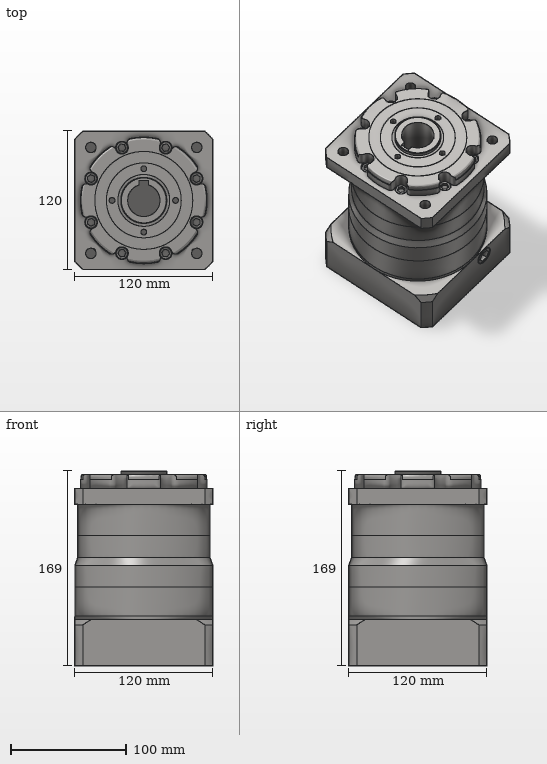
import cadquery as cq
import math

MOTOR_BLOCK_TOP = 40.0
ADAPTER_TOP = 43.0
INPUT_HOUSING_TOP = 68.5
TAPER_BOTTOM = 87.0
TAPER_TOP = 94.0
RING_GEAR_TOP = 113.0
FLANGE_BOTTOM = 140.0
FLANGE_TOP = 154.0
PILOT_TOP = 166.0
SHAFT_TOP = 169.0

SQUARE_SIDE = 120.0
CORNER_RADIUS = 80.0
BLOCK_CORNER_CHAMFER = 4.5

LOWER_BODY_RADIUS = SQUARE_SIDE / 2
UPPER_BODY_RADIUS = 57.5

PLUG_Y = -18.0
PLUG_Z = 30.0
PLUG_RADIUS = 7.8
PLUG_HOLE_RADIUS = 8.1
PLUG_GAP_DEPTH = 1.0
PLUG_HEX_FLATS = 10.0
PLUG_HEX_DEPTH = 5.0

MOUNT_HOLE_DIAMETER = 9.0
MOUNT_HOLE_SPACING = 130.0 / math.sqrt(2)

PILOT_RADIUS = 55.0
PILOT_RELIEF_RADIUS = 54.5
PILOT_RELIEF_BOTTOM = 161.5
PILOT_TOP_FILLET = 2.0
SCALLOP_COUNT = 8
SCALLOP_STEP = 360.0 / SCALLOP_COUNT
SCREW_CIRCLE_RADIUS = 49.5
SCALLOP_RADIUS = 5.5
LOBE_CORNER_RADIUS = 4.0

HEAD_RADIUS = 5.0
HEAD_RECESS = 1.0
HEAD_GAP_DEPTH = 2.0
HEAD_HEX_FLATS = 6.0
HEAD_HEX_DEPTH = 3.0

FACE_RELIEF_RADIUS = 42.5
FACE_RELIEF_DEPTH = 0.3

SHAFT_FLANGE_RADIUS = 32.5
SHAFT_HUB_RADIUS = 20.0
SHAFT_HUB_CHAMFER = 0.5
SHAFT_BORE_RADIUS = 14.0
KEYWAY_WIDTH = 8.0
KEYWAY_TOP = 17.3
HUB_RELIEF_RADIUS = 22.5
HUB_RELIEF_DEPTH = 0.3
TAPPED_HOLE_COUNT = 4
TAPPED_HOLE_CIRCLE_RADIUS = 27.5
TAPPED_HOLE_DIAMETER = 5.0
TAPPED_HOLE_DEPTH = 12.0


def disc(radius, bottom, top):
    """Round disc on the Z axis between two heights."""
    return cq.Workplane("XY").workplane(offset=bottom).circle(radius).extrude(top - bottom)


def polar(radius, degrees):
    """X and Y of a point given by its radius and angle."""
    angle = math.radians(degrees)
    return radius * math.cos(angle), radius * math.sin(angle)


def hex_across_corners(flats):
    """Corner-to-corner size of a hexagon from its size across flats."""
    return flats / math.cos(math.radians(30))


def turned_square(bottom, top):
    """Square plate whose four corners are turned to the corner radius."""
    height = top - bottom
    square = cq.Workplane("XY").workplane(offset=bottom).rect(SQUARE_SIDE, SQUARE_SIDE).extrude(height)
    return square.intersect(disc(CORNER_RADIUS, bottom, top))


def make_motor_adapter():
    corner_turning = disc(CORNER_RADIUS, 0, MOTOR_BLOCK_TOP).faces(">Z").chamfer(BLOCK_CORNER_CHAMFER)
    block = turned_square(0, MOTOR_BLOCK_TOP).intersect(corner_turning)
    neck = disc(LOWER_BODY_RADIUS, MOTOR_BLOCK_TOP, ADAPTER_TOP)
    side = cq.Workplane(cq.Plane((-SQUARE_SIDE / 2, PLUG_Y, PLUG_Z), xDir=(0, -1, 0), normal=(-1, 0, 0)))
    plug_gap = side.circle(PLUG_HOLE_RADIUS).circle(PLUG_RADIUS).extrude(-PLUG_GAP_DEPTH)
    plug_hex = side.polygon(6, hex_across_corners(PLUG_HEX_FLATS)).extrude(-PLUG_HEX_DEPTH)
    return block.union(neck).cut(plug_gap).cut(plug_hex)


def make_input_housing():
    return disc(LOWER_BODY_RADIUS, ADAPTER_TOP, INPUT_HOUSING_TOP)


def make_ring_gear():
    profile = [
        (0, INPUT_HOUSING_TOP),
        (LOWER_BODY_RADIUS, INPUT_HOUSING_TOP),
        (LOWER_BODY_RADIUS, TAPER_BOTTOM),
        (UPPER_BODY_RADIUS, TAPER_TOP),
        (UPPER_BODY_RADIUS, RING_GEAR_TOP),
        (0, RING_GEAR_TOP),
    ]
    return cq.Workplane("XZ").polyline(profile).close().revolve(360, (0, 0), (0, 1))


def pilot_outline():
    """Lobed outline: outer arcs joined by rounded corners and round scallops at the screws."""
    corner_centre_radius = PILOT_RADIUS - LOBE_CORNER_RADIUS
    centre_distance = SCALLOP_RADIUS + LOBE_CORNER_RADIUS
    corner_offset = math.degrees(math.acos(
        (corner_centre_radius**2 + SCREW_CIRCLE_RADIUS**2 - centre_distance**2)
        / (2 * corner_centre_radius * SCREW_CIRCLE_RADIUS)
    ))

    def corner_points(screw_angle, side):
        """Junction with the scallop, a mid point and the end of one lobe corner."""
        corner_angle = screw_angle + side * corner_offset
        centre = cq.Vector(*polar(corner_centre_radius, corner_angle))
        screw = cq.Vector(*polar(SCREW_CIRCLE_RADIUS, screw_angle))
        toward_screw = (screw - centre).normalized()
        outward = centre.normalized()
        junction = centre + toward_screw * LOBE_CORNER_RADIUS
        middle = centre + (toward_screw + outward).normalized() * LOBE_CORNER_RADIUS
        end = centre + outward * LOBE_CORNER_RADIUS
        return junction.toTuple()[:2], middle.toTuple()[:2], end.toTuple()[:2]

    first_screw = SCALLOP_STEP / 2
    outline = cq.Workplane("XY").workplane(offset=FLANGE_TOP).moveTo(*corner_points(first_screw, -1)[2])
    for index in range(SCALLOP_COUNT):
        screw_angle = first_screw + index * SCALLOP_STEP
        before_junction, before_middle, _ = corner_points(screw_angle, -1)
        after_junction, after_middle, after_end = corner_points(screw_angle, 1)
        next_start = corner_points(screw_angle + SCALLOP_STEP, -1)[2]
        outline = (
            outline
            .threePointArc(before_middle, before_junction)
            .threePointArc(polar(SCREW_CIRCLE_RADIUS - SCALLOP_RADIUS, screw_angle), after_junction)
            .threePointArc(after_middle, after_end)
            .threePointArc(polar(PILOT_RADIUS, screw_angle + SCALLOP_STEP / 2), next_start)
        )
    return outline.close()


def make_pilot():
    lobes = pilot_outline().extrude(PILOT_TOP - FLANGE_TOP)
    relief = disc(PILOT_RELIEF_RADIUS, PILOT_RELIEF_BOTTOM, PILOT_TOP)
    relief = relief.faces(">Z").edges().fillet(PILOT_TOP_FILLET)
    turning = disc(PILOT_RADIUS, FLANGE_TOP, PILOT_RELIEF_BOTTOM).union(relief)
    return lobes.intersect(turning)


def make_screw_cut():
    """Cut for one cap screw head at angle zero: recess that continues the scallop, gap and hex socket."""
    head_depth = PILOT_TOP - FLANGE_TOP + HEAD_RECESS
    top = cq.Workplane(cq.Plane((SCREW_CIRCLE_RADIUS, 0, PILOT_TOP), xDir=(-1, 0, 0), normal=(0, 0, 1)))
    head_face = top.workplane(offset=-head_depth)
    pocket = top.circle(SCALLOP_RADIUS).extrude(-head_depth - HEAD_GAP_DEPTH)
    head = head_face.circle(HEAD_RADIUS).extrude(-HEAD_GAP_DEPTH)
    socket = head_face.polygon(6, hex_across_corners(HEAD_HEX_FLATS)).extrude(-HEAD_HEX_DEPTH)
    return pocket.cut(head).union(socket)


def make_front_housing():
    body = disc(UPPER_BODY_RADIUS, RING_GEAR_TOP, FLANGE_BOTTOM)
    mount_holes = (
        cq.Workplane("XY").workplane(offset=FLANGE_BOTTOM)
        .rect(MOUNT_HOLE_SPACING, MOUNT_HOLE_SPACING, forConstruction=True).vertices()
        .circle(MOUNT_HOLE_DIAMETER / 2).extrude(FLANGE_TOP - FLANGE_BOTTOM)
    )
    flange = turned_square(FLANGE_BOTTOM, FLANGE_TOP).cut(mount_holes)
    housing = body.union(flange).union(make_pilot())
    screw_cut = make_screw_cut()
    for index in range(SCALLOP_COUNT):
        screw_angle = (index + 0.5) * SCALLOP_STEP
        housing = housing.cut(screw_cut.rotate((0, 0, 0), (0, 0, 1), screw_angle))
    shaft_bore = disc(SHAFT_FLANGE_RADIUS, RING_GEAR_TOP, PILOT_TOP)
    face_relief = disc(FACE_RELIEF_RADIUS, PILOT_TOP - FACE_RELIEF_DEPTH, PILOT_TOP)
    return housing.cut(shaft_bore).cut(face_relief)


def make_output_shaft():
    flange = disc(SHAFT_FLANGE_RADIUS, RING_GEAR_TOP, PILOT_TOP)
    hub_relief = disc(HUB_RELIEF_RADIUS, PILOT_TOP - HUB_RELIEF_DEPTH, PILOT_TOP)
    hub = disc(SHAFT_HUB_RADIUS, RING_GEAR_TOP, SHAFT_TOP).faces(">Z").chamfer(SHAFT_HUB_CHAMFER)
    bore = disc(SHAFT_BORE_RADIUS, RING_GEAR_TOP, SHAFT_TOP)
    keyway = (
        cq.Workplane("XY").workplane(offset=RING_GEAR_TOP)
        .center(0, KEYWAY_TOP / 2).rect(KEYWAY_WIDTH, KEYWAY_TOP).extrude(SHAFT_TOP - RING_GEAR_TOP)
    )
    tapped_holes = (
        cq.Workplane("XY").workplane(offset=PILOT_TOP)
        .polarArray(TAPPED_HOLE_CIRCLE_RADIUS, 0, 360, TAPPED_HOLE_COUNT)
        .circle(TAPPED_HOLE_DIAMETER / 2).extrude(-TAPPED_HOLE_DEPTH)
    )
    return flange.cut(hub_relief).union(hub).cut(bore).cut(keyway).cut(tapped_holes)


motor_adapter = make_motor_adapter()
input_housing = make_input_housing()
ring_gear = make_ring_gear()
front_housing = make_front_housing()
output_shaft = make_output_shaft()

result = cq.Compound.makeCompound([
    motor_adapter.val(),
    input_housing.val(),
    ring_gear.val(),
    front_housing.val(),
    output_shaft.val(),
])